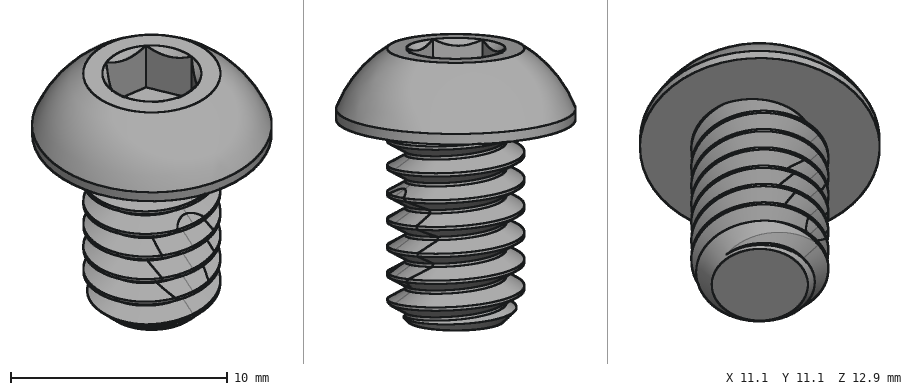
import cadquery as cq
import math

INCH = 25.4

major_radius = INCH / 4 / 2
pitch = INCH / 20
shank_length = INCH * 3 / 8
head_radius = 11.1 / 2
head_height = INCH * 0.132
rim_height = 0.5
crown_flat_radius = major_radius

socket_flats = INCH * 5 / 32
socket_depth = 0.7 * head_height
socket_corner_radius = socket_flats / 2 / math.cos(math.pi / 6)

thread_depth = 3 / 4 * pitch * math.cos(math.pi / 6)
flank_slope = math.tan(math.pi / 6)
crest_width = pitch / 8
root_width = pitch - crest_width - 2 * thread_depth * flank_slope
root_radius = major_radius - thread_depth
groove_center_z = -3 / 16 * pitch
trim_clearance = 0.1
tip_radius = 2.226

patch_width = 3.14
patch_length = 4.6
patch_center_z = -5.34
patch_floor_x = major_radius / 2


def make_head():
    """Button head whose dome is part of a sphere centred on the axis."""
    crown_edge_squared = head_height**2 + crown_flat_radius**2
    rim_edge_squared = rim_height**2 + head_radius**2
    dome_center_z = (crown_edge_squared - rim_edge_squared) / (2 * (head_height - rim_height))
    dome_radius = math.hypot(head_radius, rim_height - dome_center_z)
    middle_z = (head_height + rim_height) / 2
    middle_radius = math.sqrt(dome_radius**2 - (middle_z - dome_center_z) ** 2)
    return (
        cq.Workplane("XZ")
        .lineTo(head_radius, 0)
        .lineTo(head_radius, rim_height)
        .threePointArc((middle_radius, middle_z), (crown_flat_radius, head_height))
        .lineTo(0, head_height)
        .close()
        .revolve(360, (0, 0, 0), (0, 1, 0))
    )


def make_socket():
    """Hexagon with corners on +Y and -Y, plus the lead-in cone, as a cutting body."""
    hexagon = (
        cq.Workplane("XY", origin=(0, 0, head_height - socket_depth))
        .transformed(rotate=(0, 0, 90))
        .polygon(6, 2 * socket_corner_radius)
        .extrude(socket_depth)
    )
    cone_height = socket_corner_radius
    cone_base = cq.Vector(0, 0, head_height)
    downward = cq.Vector(0, 0, -1)
    lead_in = cq.Solid.makeCone(socket_corner_radius, 0, cone_height, cone_base, downward)
    return hexagon.union(cq.Workplane(lead_in))


def helix(radius, start_z):
    """One right-handed turn starting on the +X side."""
    return cq.Wire.makeHelix(pitch, pitch, radius, cq.Vector(0, 0, start_z))


def thread_profile(start_z, turns):
    """(radius, Z) corners of the thread over a number of turns, from a root's lower edge up."""
    flank_height = thread_depth * flank_slope
    corners = []
    for turn in range(turns):
        root_z = start_z + turn * pitch
        flank_z = root_z + root_width
        crest_z = flank_z + flank_height
        corners += [
            (root_radius, root_z),
            (root_radius, flank_z),
            (major_radius, crest_z),
            (major_radius, crest_z + crest_width),
        ]
    return corners + [(root_radius, start_z + turns * pitch)]


def rod_end(start_z):
    """Faces closing the rod: a one-turn spiral ramp and the upright step where that turn ends."""
    axis_bottom = cq.Vector(0, 0, start_z)
    axis_top = cq.Vector(0, 0, start_z + pitch)
    axis = cq.Wire.assembleEdges([cq.Edge.makeLine(axis_bottom, axis_top)])
    ramp = cq.Face.makeRuledSurface(axis, helix(root_radius, start_z))
    step_corners = [cq.Vector(radius, 0, z) for radius, z in thread_profile(start_z, 1)]
    step = cq.Face.makeFromWires(cq.Wire.makePolygon([axis_bottom, *step_corners, axis_top], close=True))
    return [*ramp.Faces(), step]


def make_threaded_rod():
    """Threaded rod that runs past both ends of the shank."""
    turns_above = 2
    turns_below = math.ceil(shank_length / pitch) + 1
    start_z = groove_center_z - root_width / 2 - turns_below * pitch
    turns = turns_below + turns_above
    corners = thread_profile(start_z, turns)
    faces = rod_end(start_z) + rod_end(start_z + turns * pitch)
    for lower, upper in zip(corners, corners[1:]):
        faces += cq.Face.makeRuledSurface(helix(*lower), helix(*upper)).Faces()
    return cq.Workplane(cq.Solid.makeSolid(cq.Shell.makeShell(faces)))


def make_shank():
    """Threaded rod trimmed to the shank length, with the 45 degree chamfer on its tip."""
    trim_radius = major_radius + trim_clearance
    trim = (
        cq.Workplane("XY")
        .circle(trim_radius)
        .extrude(-shank_length)
        .faces("<Z")
        .chamfer(trim_radius - tip_radius)
    )
    return make_threaded_rod().intersect(trim)


def make_patch_zone():
    """Elliptical plug along X that separates the patch from the screw."""
    return (
        cq.Workplane("YZ", origin=(patch_floor_x, 0, patch_center_z))
        .ellipse(patch_width / 2, patch_length / 2)
        .extrude(major_radius)
    )


patch_zone = make_patch_zone()
threaded_shank = make_shank()
patch = threaded_shank.intersect(patch_zone)
screw = make_head().cut(make_socket()).union(threaded_shank.cut(patch_zone))

result = cq.Compound.makeCompound([screw.val(), patch.val()])